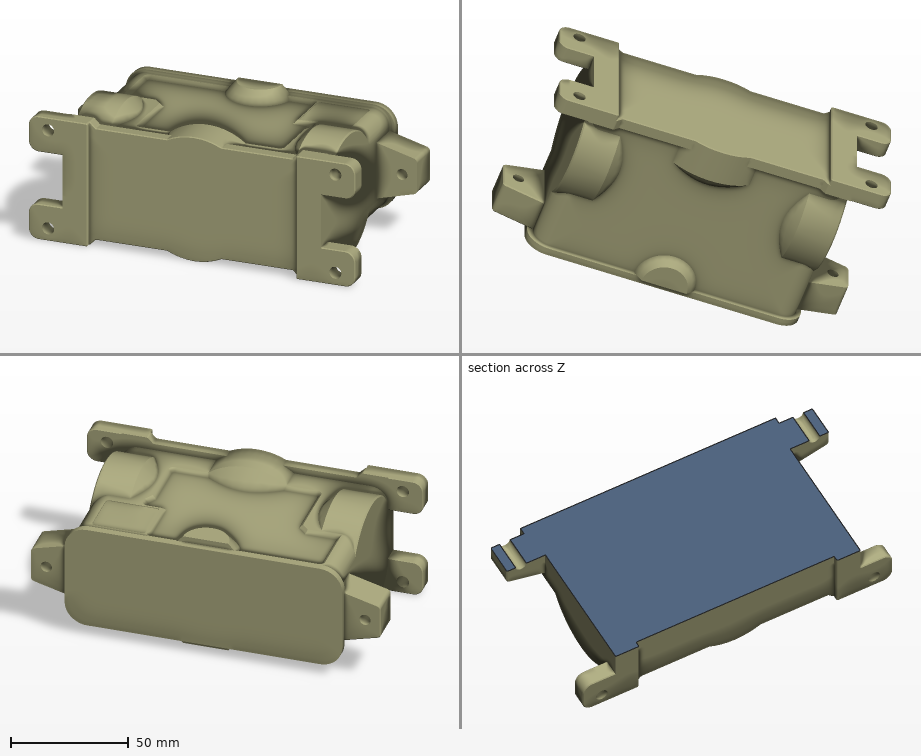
import cadquery as cq
import math


TOTAL_DEPTH = 80.0
BODY_HALF_X = 59.4
BODY_HALF_Z = 22.6
BODY_CORNER_RADIUS = 7.6

FLANGE_THICKNESS = 3.2
FLANGE_HALF_X = 61.9
FLANGE_HALF_Z = 23.8
FLANGE_CORNER_RADIUS = 10.0
FLANGE_ROOT_FILLET = 0.8
FLANGE_UNDERSIDE = TOTAL_DEPTH - FLANGE_THICKNESS

BASE_BACK = 2.6
BASE_TOP = 7.7
BASE_HALF_Z = 25.6
FOOT_TIP_X = 75.0
FOOT_HALF_Z = 28.2
FOOT_INNER_X = 47.9
FLARE_LIMIT_X = FOOT_INNER_X + 1.0
FOOT_CORNER_RADIUS = 4.6
EDGE_CHAMFER = 0.4
FLARE_FILLET = 1.0
FOOT_INNER_FILLET = 0.8
NOTCH_HALF_Z = 12.0
FOOT_HOLE_DIAMETER = 5.5
FOOT_HOLE_X = 66.0
FOOT_HOLE_Z = 22.5

ENTRY_RADIUS = 28.5
ENTRY_RIM_CHAMFER = 0.6
SIDE_ENTRY_Y = 30.8
SIDE_ENTRY_INNER_X = 42.7
BASE_ENTRY_INNER_Y = 18.1

LUG_TIP_X = 78.0
LUG_TIP_HALF_Z = 7.8
LUG_SIDE_ANGLE = 15.0
LUG_DEPTH = 14.6
LUG_CORNER_RADIUS = 2.0
LUG_EDGE_CHAMFER = 0.5
LUG_HOLE_DIAMETER = 5.0
LUG_HOLE_X = 71.1

BOSS_TOP_Z = 26.6
BOSS_TOP_RADIUS = 10.1
BOSS_FLANK_RATIO = 0.88

PANEL_DEPTH = 1.7
PANEL_RIM_HEIGHT = 0.002
PANEL_LEFT = -51.8
PANEL_RIGHT = 27.7
PANEL_TOP = 74.6
PANEL_LEFT_STEP_Y = 49.3
PANEL_RIGHT_STEP_Y = 51.4
PANEL_LOWER_LEFT = -33.7
PANEL_LOWER_RIGHT = 34.5
PANEL_BOTTOM = BASE_ENTRY_INNER_Y
PANEL_STEP_CHAMFER = 3.1
PANEL_BULGE_RIGHT = 36.7
PANEL_BULGE_LOW_Y = 46.5
PANEL_BULGE_END_Y = 42.6
PANEL_CORNER_RADIUS = 2.6

LABEL_LEFT = 28.1
LABEL_RIGHT = 52.0
LABEL_BOTTOM = 52.3
LABEL_TOP = 73.4
LABEL_CORNER_RADIUS = 1.5
LABEL_DEPTH = 0.3


def slab(half_x, half_z, y_start, y_end, corner_radius):
    """Block along Y with its four lengthwise edges rounded."""
    block = cq.Workplane("XY").box(2 * half_x, y_end - y_start, 2 * half_z)
    block = block.translate((0, (y_start + y_end) / 2, 0))
    return block.edges("|Y").fillet(corner_radius)


def prism_along_y(points, y_start, y_end):
    """Polygon of (X, Z) points extruded along Y."""
    sketch = cq.Workplane("XZ", origin=(0, y_start, 0)).polyline(points).close()
    return sketch.extrude(y_start - y_end)


def span_selector(x_start, x_end, half_z):
    """Selects edges centred within an X range and a half width in Z, at any Y."""
    return cq.selectors.BoxSelector((x_start, -TOTAL_DEPTH, -half_z), (x_end, TOTAL_DEPTH, half_z))


def mirrored_in_x(solid):
    """The solid together with its mirror image across X = 0."""
    return solid.union(solid.mirror("YZ"))


def make_shell():
    """Rounded body and its end flange, blended where they meet."""
    body = slab(BODY_HALF_X, BODY_HALF_Z, BASE_BACK, FLANGE_UNDERSIDE, BODY_CORNER_RADIUS)
    flange = slab(FLANGE_HALF_X, FLANGE_HALF_Z, FLANGE_UNDERSIDE, TOTAL_DEPTH, FLANGE_CORNER_RADIUS)
    shell = body.union(flange)
    underside = shell.faces(">Y[-2]").val()
    root_edges = underside.innerWires()[0].Edges()
    return shell.newObject(root_edges).fillet(FLANGE_ROOT_FILLET)


def panel_cutter():
    """Recess whose 45 degree walls narrow towards its floor."""
    outline = (
        cq.Workplane("XY", origin=(0, 0, BODY_HALF_Z))
        .moveTo(PANEL_LEFT, PANEL_TOP)
        .lineTo(PANEL_RIGHT, PANEL_TOP)
        .lineTo(PANEL_RIGHT, PANEL_RIGHT_STEP_Y)
        .lineTo(PANEL_BULGE_RIGHT, PANEL_RIGHT_STEP_Y)
        .lineTo(PANEL_BULGE_RIGHT, PANEL_BULGE_LOW_Y)
        .lineTo(PANEL_LOWER_RIGHT, PANEL_BULGE_END_Y)
        .lineTo(PANEL_LOWER_RIGHT, PANEL_BOTTOM)
        .lineTo(PANEL_LOWER_LEFT, PANEL_BOTTOM)
        .lineTo(PANEL_LOWER_LEFT, PANEL_LEFT_STEP_Y - PANEL_STEP_CHAMFER)
        .lineTo(PANEL_LOWER_LEFT - PANEL_STEP_CHAMFER, PANEL_LEFT_STEP_Y)
        .lineTo(PANEL_LEFT, PANEL_LEFT_STEP_Y)
        .close()
    )
    blank = outline.extrude(-PANEL_DEPTH)
    rounded_corners = [
        (PANEL_LEFT, PANEL_TOP),
        (PANEL_RIGHT, PANEL_TOP),
        (PANEL_BULGE_RIGHT, PANEL_RIGHT_STEP_Y),
        (PANEL_LOWER_RIGHT, PANEL_BOTTOM),
        (PANEL_LOWER_LEFT, PANEL_BOTTOM),
    ]
    mid_depth = BODY_HALF_Z - PANEL_DEPTH / 2
    for x, y in rounded_corners:
        corner = cq.selectors.NearestToPointSelector((x, y, mid_depth))
        blank = blank.edges("|Z").edges(corner).fillet(PANEL_CORNER_RADIUS)
    return blank.faces("<Z").edges().chamfer(PANEL_DEPTH - PANEL_RIM_HEIGHT)


def label_cutter():
    """Shallow recess with rounded corners beside the panel."""
    width = LABEL_RIGHT - LABEL_LEFT
    height = LABEL_TOP - LABEL_BOTTOM
    center = ((LABEL_LEFT + LABEL_RIGHT) / 2, (LABEL_BOTTOM + LABEL_TOP) / 2, BODY_HALF_Z)
    field = cq.Workplane("XY", origin=center).rect(width, height).extrude(-LABEL_DEPTH)
    return field.edges("|Z").fillet(LABEL_CORNER_RADIUS)


def make_entry(inner, outer, rim):
    """Solid of revolution about X: a cylinder with a 45 degree cone pointing to X = 0."""
    direction = math.copysign(1, outer - inner)
    profile = (
        cq.Workplane("XY")
        .moveTo(outer, 0)
        .lineTo(outer, ENTRY_RADIUS - rim)
        .lineTo(outer - direction * rim, ENTRY_RADIUS)
        .lineTo(inner, ENTRY_RADIUS)
        .lineTo(inner - direction * ENTRY_RADIUS, 0)
        .close()
    )
    return profile.revolve(360, (0, 0, 0), (1, 0, 0))


def make_side_entries():
    """Entries on both ends, cut flush with the front of the base plate."""
    entry = make_entry(SIDE_ENTRY_INNER_X, BODY_HALF_X, ENTRY_RIM_CHAMFER)
    entry = entry.translate((0, SIDE_ENTRY_Y, 0))
    behind_base = cq.Workplane("XY").box(2 * BODY_HALF_X, TOTAL_DEPTH, 2 * ENTRY_RADIUS)
    behind_base = behind_base.translate((0, BASE_BACK + TOTAL_DEPTH / 2, 0))
    return mirrored_in_x(entry.intersect(behind_base))


def make_base_entry():
    """Entry at the middle of the base plate, opening towards -Y."""
    entry = make_entry(BASE_ENTRY_INNER_Y, BASE_BACK, EDGE_CHAMFER)
    return entry.rotate((0, 0, 0), (0, 0, 1), 90)


def make_base_plate():
    """Plate between the feet, flaring at 45 degrees to the width of the feet."""
    flare_x = FOOT_INNER_X - (FOOT_HALF_Z - BASE_HALF_Z)
    upper_edge = [
        (-BODY_HALF_X, FOOT_HALF_Z),
        (-FOOT_INNER_X, FOOT_HALF_Z),
        (-flare_x, BASE_HALF_Z),
        (flare_x, BASE_HALF_Z),
        (FOOT_INNER_X, FOOT_HALF_Z),
        (BODY_HALF_X, FOOT_HALF_Z),
    ]
    lower_edge = [(x, -z) for x, z in reversed(upper_edge)]
    plate = prism_along_y(upper_edge + lower_edge, BASE_BACK, BASE_TOP)
    between_ends = span_selector(-FLARE_LIMIT_X, FLARE_LIMIT_X, ENTRY_RADIUS)
    plate = plate.edges("|Y").edges(between_ends).fillet(FLARE_FILLET)
    return plate.faces("<Y").edges("not |Z").chamfer(EDGE_CHAMFER)


def make_foot():
    """Forked foot on the +X end with two mounting holes and chamfered rims."""
    foot = prism_along_y(
        [
            (FOOT_INNER_X, -FOOT_HALF_Z),
            (FOOT_TIP_X, -FOOT_HALF_Z),
            (FOOT_TIP_X, -NOTCH_HALF_Z),
            (BODY_HALF_X, -NOTCH_HALF_Z),
            (BODY_HALF_X, NOTCH_HALF_Z),
            (FOOT_TIP_X, NOTCH_HALF_Z),
            (FOOT_TIP_X, FOOT_HALF_Z),
            (FOOT_INNER_X, FOOT_HALF_Z),
        ],
        0,
        BASE_TOP,
    )
    foot = foot.edges("|Y").edges(">X").fillet(FOOT_CORNER_RADIUS)
    foot = foot.edges("|Y").edges("<X").fillet(FOOT_INNER_FILLET)
    notch_floor = span_selector(BODY_HALF_X - EDGE_CHAMFER, BODY_HALF_X + EDGE_CHAMFER, NOTCH_HALF_Z)
    inner_end = span_selector(0, FLARE_LIMIT_X, ENTRY_RADIUS)
    front_rim = foot.faces("<Y").edges(cq.selectors.InverseSelector(notch_floor))
    foot = front_rim.chamfer(EDGE_CHAMFER)
    back_rim = foot.faces(">Y").edges(
        cq.selectors.InverseSelector(cq.selectors.SumSelector(notch_floor, inner_end))
    )
    foot = back_rim.chamfer(EDGE_CHAMFER)
    holes = (
        cq.Workplane("XZ")
        .pushPoints([(FOOT_HOLE_X, FOOT_HOLE_Z), (FOOT_HOLE_X, -FOOT_HOLE_Z)])
        .circle(FOOT_HOLE_DIAMETER / 2)
        .extrude(-BASE_TOP)
    )
    return foot.cut(holes)


def make_lug():
    """Tapered sharp-edged lug on the +X end, just below the flange, with a hole along Y."""
    root_x = BODY_HALF_X - BODY_CORNER_RADIUS
    taper = math.tan(math.radians(LUG_SIDE_ANGLE))
    root_half_z = LUG_TIP_HALF_Z + taper * (LUG_TIP_X - root_x)
    lug = prism_along_y(
        [
            (root_x, -root_half_z),
            (LUG_TIP_X, -LUG_TIP_HALF_Z),
            (LUG_TIP_X, LUG_TIP_HALF_Z),
            (root_x, root_half_z),
        ],
        FLANGE_UNDERSIDE - LUG_DEPTH,
        FLANGE_UNDERSIDE,
    )
    lug = lug.edges("|Y").edges(">X").fillet(LUG_CORNER_RADIUS)
    hole = (
        cq.Workplane("XZ", origin=(LUG_HOLE_X, FLANGE_UNDERSIDE, 0))
        .circle(LUG_HOLE_DIAMETER / 2)
        .extrude(LUG_DEPTH)
    )
    return lug.cut(hole)


def make_lugs():
    """Lugs on both ends; only the -X lug has chamfered rims."""
    lug = make_lug()
    chamfered_lug = lug
    for face in ("<Y", ">Y"):
        rim_edges = chamfered_lug.faces(face).val().outerWire().Edges()
        rim = chamfered_lug.newObject(rim_edges).edges("not <X")
        chamfered_lug = rim.chamfer(LUG_EDGE_CHAMFER)
    return lug.union(chamfered_lug.mirror("YZ"))


def make_bosses():
    """Half cones on the +Z and -Z faces, cut flat by the underside of the flange."""
    foot_z = BODY_HALF_Z - PANEL_DEPTH
    foot_radius = BOSS_TOP_RADIUS + BOSS_FLANK_RATIO * (BOSS_TOP_Z - foot_z)
    boss = (
        cq.Workplane("XZ")
        .moveTo(0, foot_z)
        .lineTo(foot_radius, foot_z)
        .lineTo(BOSS_TOP_RADIUS, BOSS_TOP_Z)
        .lineTo(0, BOSS_TOP_Z)
        .close()
        .revolve(180, (0, 0, 0), (0, -1, 0))
    )
    return boss.union(boss.mirror("XY")).translate((0, FLANGE_UNDERSIDE, 0))


result = (
    make_shell()
    .cut(panel_cutter())
    .cut(label_cutter())
    .union(make_side_entries())
    .union(make_base_entry())
    .union(make_base_plate())
    .union(mirrored_in_x(make_foot()))
    .union(make_lugs())
    .union(make_bosses())
)